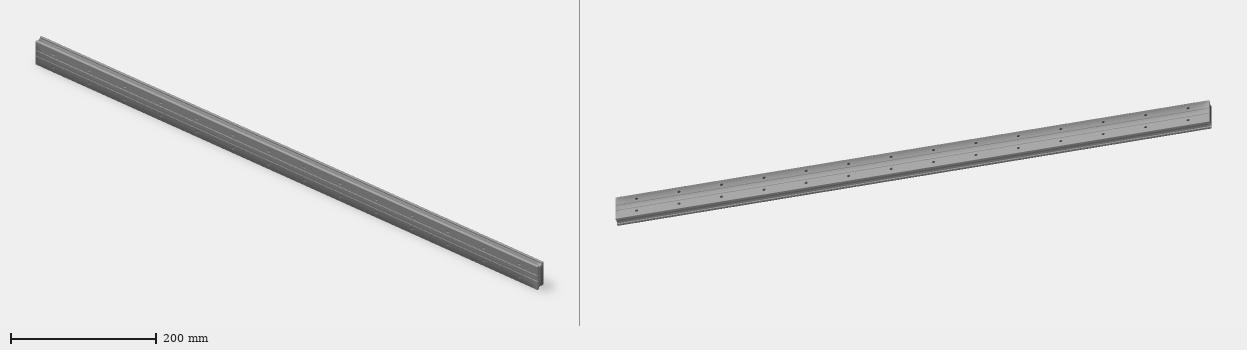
import cadquery as cq

length = 840.0
depth = 15.0
height = 42.0
front_edge_radius = 0.5
back_edge_radius = 2.0

channel_depth = 2.5
front_lip = 3.0
back_lip = 4.0
channel_wall_depth = 2.0
channel_foot_width = 2.5

groove_offset = 5.0
groove_width = 1.2
groove_depth = 1.0

hole_count = 14
hole_pitch = length / hole_count
hole_row_spacing = 23.5
hole_diameter = 4.4

front_y = -depth / 2
back_y = depth / 2
channel_back_y = back_y - back_lip


def extrude_along_rail(profile):
    """Prism over the full length from (y, z) points."""
    return cq.Workplane("YZ").polyline(profile).close().extrude(length / 2, both=True)


def rail_body():
    """Bar with channelled top and bottom edges and rounded outer long edges."""
    rim_z = height / 2
    floor_z = rim_z - channel_depth
    upper_half = [
        (front_y, rim_z),
        (front_y + front_lip, rim_z),
        (front_y + front_lip, floor_z),
        (channel_back_y - channel_foot_width, floor_z),
        (channel_back_y, rim_z - channel_wall_depth),
        (channel_back_y, rim_z),
        (back_y, rim_z),
    ]
    lower_half = [(y, -z) for y, z in reversed(upper_half)]
    body = extrude_along_rail(upper_half + lower_half)
    body = body.edges("|X and <Y").fillet(front_edge_radius)
    return body.edges("|X and >Y").fillet(back_edge_radius)


def front_groove(side):
    """V groove in the front face, above (side = 1) or below (side = -1) its middle."""
    middle_z = side * groove_offset
    return extrude_along_rail([
        (front_y, middle_z + groove_width / 2),
        (front_y + groove_depth, middle_z),
        (front_y, middle_z - groove_width / 2),
    ])


def mounting_holes():
    """Evenly spaced holes in two rows, right through the rail from front to back."""
    return (
        cq.Workplane("XZ")
        .rarray(hole_pitch, hole_row_spacing, hole_count, 2)
        .circle(hole_diameter / 2)
        .extrude(depth, both=True)
    )


rail = rail_body()
for side in (1, -1):
    rail = rail.cut(front_groove(side))

result = rail.cut(mounting_holes())